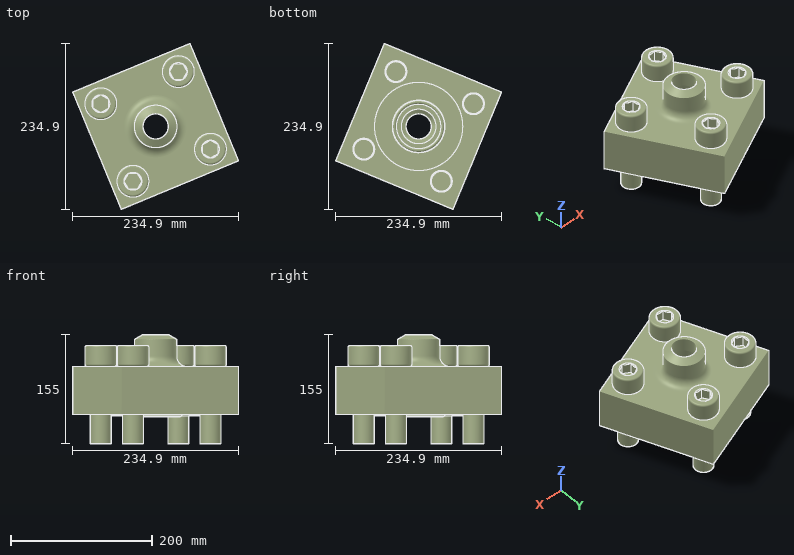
import cadquery as cq
import math

plate_side = 180.0
plate_thickness = 68.0
plate_turn = 22.5
edge_round = 0.5
raised_face_diameter = 125.0
raised_face_height = 2.0
raised_face_z = -plate_thickness - raised_face_height
plate_middle_z = -plate_thickness / 2

neck_diameter = 60.3
neck_height = 45.0
bore_diameter = 35.3
bore_mouth_diameter = 49.0
bore_straight_length = neck_height / 2
neck_root_radius = 14.0
land_width = 1.0
bevel_angle = 30.0
neck_radius = neck_diameter / 2
land_radius = bore_diameter / 2 + land_width
bevel_height = (neck_radius - land_radius) * math.tan(math.radians(bevel_angle))

ring_inner_diameter = 62.87
ring_section = 5.33
ring_protrusion = 1.27
groove_outer_diameter = 74.6
groove_inner_diameter = ring_inner_diameter
groove_depth = ring_section - ring_protrusion

bolt_circle_diameter = 168.0
bolt_count = 4
bolt_pitch_angle = 360.0 / bolt_count
first_bolt_angle = plate_turn + bolt_pitch_angle / 2
bolt_hole_diameter = 31.0
shank_diameter = 30.0
shank_length = 110.0
shank_tip_chamfer = 1.0
head_diameter = 45.0
head_height = 30.0
head_round = 3.0
socket_across_flats = 22.0
socket_across_corners = socket_across_flats / math.cos(math.pi / 6)
socket_depth = 18.0
socket_mouth_angle = 45.0


def make_plate():
    """Turned square plate with rounded edges and a round raised face, rooted at mid-thickness."""
    plate = (
        cq.Workplane("XY")
        .rect(plate_side, plate_side)
        .extrude(-plate_thickness)
        .edges()
        .fillet(edge_round)
        .rotate((0, 0, 0), (0, 0, 1), plate_turn)
    )
    raised_face = (
        cq.Workplane("XY")
        .workplane(offset=raised_face_z)
        .circle(raised_face_diameter / 2)
        .extrude(plate_middle_z - raised_face_z)
    )
    return plate.union(raised_face)


def make_neck():
    """Neck with a concave root fillet and a weld bevel that leaves a narrow flat land at the bore."""
    root_centre_radius = neck_radius + neck_root_radius
    arc_offset = neck_root_radius * math.sqrt(0.5)
    return (
        cq.Workplane("XZ")
        .moveTo(0, plate_middle_z)
        .lineTo(root_centre_radius, plate_middle_z)
        .lineTo(root_centre_radius, 0)
        .threePointArc(
            (root_centre_radius - arc_offset, neck_root_radius - arc_offset),
            (neck_radius, neck_root_radius),
        )
        .lineTo(neck_radius, neck_height - bevel_height)
        .lineTo(land_radius, neck_height)
        .lineTo(0, neck_height)
        .close()
        .revolve(360, (0, 0, 0), (0, 1, 0))
    )


def make_bore():
    """Core of the bore: straight at both ends, with a taper between that widens toward the raised face."""
    return (
        cq.Workplane("XZ")
        .moveTo(0, raised_face_z)
        .lineTo(bore_mouth_diameter / 2, raised_face_z)
        .lineTo(bore_mouth_diameter / 2, raised_face_z + bore_straight_length)
        .lineTo(bore_diameter / 2, neck_height - bore_straight_length)
        .lineTo(bore_diameter / 2, neck_height)
        .lineTo(0, neck_height)
        .close()
        .revolve(360, (0, 0, 0), (0, 1, 0))
    )


def round_neck_edges(neck):
    """Lightly round the edges at both ends of the weld bevel and at the mouth of the bore."""
    below_bevel_z = neck_height - bevel_height - edge_round
    bevel_zone = cq.selectors.BoxSelector(
        (-neck_diameter, -neck_diameter, below_bevel_z),
        (neck_diameter, neck_diameter, neck_height + edge_round),
    )
    return neck.edges("%CIRCLE").edges(bevel_zone).fillet(edge_round)


def make_flange():
    """Plate and neck as one solid, with the tapered bore, bolt holes and O-ring groove cut out."""
    bottom = cq.Workplane("XY").workplane(offset=raised_face_z)
    bore = make_bore()
    groove = bottom.circle(groove_outer_diameter / 2).circle(groove_inner_diameter / 2).extrude(groove_depth)
    bolt_holes = (
        bottom.polarArray(bolt_circle_diameter / 2, first_bolt_angle, 360, bolt_count)
        .circle(bolt_hole_diameter / 2)
        .extrude(-raised_face_z)
    )
    bored_neck = round_neck_edges(make_neck().cut(bore))
    return make_plate().cut(bore).union(bored_neck).cut(groove).cut(bolt_holes)


def make_ring():
    """O-ring resting on the groove floor and standing proud of the raised face."""
    centre_radius = (ring_inner_diameter + ring_section) / 2
    centre_z = raised_face_z - ring_protrusion + ring_section / 2
    return (
        cq.Workplane("XZ")
        .center(centre_radius, centre_z)
        .circle(ring_section / 2)
        .revolve(360, (-centre_radius, 0, 0), (-centre_radius, 1, 0))
    )


def make_bolt(angle):
    """Socket head bolt placed on the bolt circle at the given angle, with its socket turned to match."""
    head = cq.Workplane("XY").circle(head_diameter / 2).extrude(head_height).edges().fillet(head_round)
    shank = (
        cq.Workplane("XY")
        .circle(shank_diameter / 2)
        .extrude(-shank_length)
        .faces("<Z")
        .chamfer(shank_tip_chamfer)
    )
    socket = (
        cq.Workplane("XY")
        .workplane(offset=head_height - socket_depth)
        .polygon(6, socket_across_corners)
        .extrude(socket_depth)
        .rotate((0, 0, 0), (0, 0, 1), angle - first_bolt_angle)
    )
    mouth_radius = socket_across_corners / 2
    mouth_depth = mouth_radius * math.tan(math.radians(socket_mouth_angle))
    mouth_tip = cq.Vector(0, 0, head_height - mouth_depth)
    mouth = cq.Workplane(cq.Solid.makeCone(0, mouth_radius, mouth_depth, mouth_tip))
    x = bolt_circle_diameter / 2 * math.cos(math.radians(angle))
    y = bolt_circle_diameter / 2 * math.sin(math.radians(angle))
    return head.union(shank).cut(socket).cut(mouth).translate((x, y, 0))


flange = make_flange()
ring = make_ring()
bolts = [make_bolt(first_bolt_angle + i * bolt_pitch_angle) for i in range(bolt_count)]

result = cq.Compound.makeCompound([flange.val(), ring.val(), *[bolt.val() for bolt in bolts]])